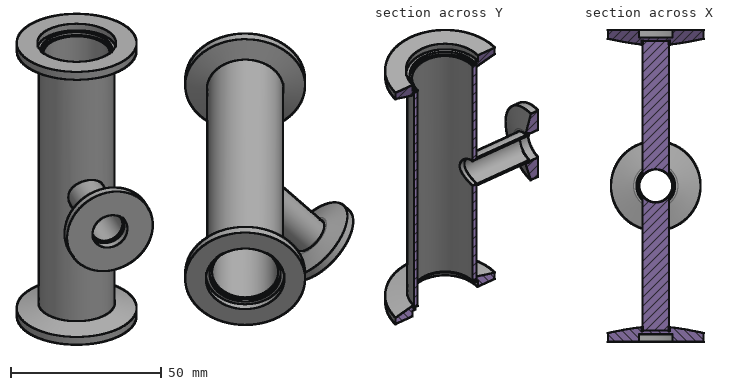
import cadquery as cq

total_height = 104.0
overall_length = 57.5

main_tube_diameter = 25.4
main_tube_bore = 22.0
branch_tube_diameter = 12.7
branch_tube_bore = 10.9

flange_thickness = 5.0
rim_thickness = 3.0
main_flange_diameter = 40.0
branch_flange_diameter = 30.0
branch_flange_back_diameter = 14.8

main_recess_diameter = 26.2
recess_depth = 2.5
main_flange_bore = 23.7
main_socket_diameter = 25.6
branch_flange_bore = 12.2
branch_socket_diameter = 12.9
tube_setback = 3.6

branch_reach = overall_length - main_flange_diameter / 2


def make_tube(length, outer_diameter, bore):
    """Tube standing on the XY plane."""
    return cq.Workplane("XY").circle(outer_diameter / 2).circle(bore / 2).extrude(length)


def make_flange(rim_diameter, back_diameter, bore, socket_diameter):
    """Flange with its outer face at Z = 0 and its cone pointing down."""
    rim_radius = rim_diameter / 2
    bore_radius = bore / 2
    flange = (
        cq.Workplane("XZ")
        .moveTo(bore_radius, 0)
        .lineTo(rim_radius, 0)
        .lineTo(rim_radius, -rim_thickness)
        .lineTo(back_diameter / 2, -flange_thickness)
        .lineTo(bore_radius, -flange_thickness)
        .close()
        .revolve(360, (0, 0, 0), (0, 1, 0))
    )
    socket = (
        cq.Workplane("XY")
        .workplane(offset=-flange_thickness)
        .circle(socket_diameter / 2)
        .extrude(flange_thickness - tube_setback)
    )
    return flange.cut(socket)


def make_main_flange():
    """Main flange with a seal recess; its cone narrows right down to the socket edge."""
    flange = make_flange(
        main_flange_diameter, main_socket_diameter, main_flange_bore, main_socket_diameter
    )
    recess = cq.Workplane("XY").circle(main_recess_diameter / 2).extrude(-recess_depth)
    return flange.cut(recess)


def turn_to_branch(body):
    """Turn a body from the +Z axis onto the +X axis."""
    return body.rotate((0, 0, 0), (0, 1, 0), 90)


main_tube_length = total_height - 2 * tube_setback
side_opening = cq.Workplane("YZ").circle(branch_tube_bore / 2).extrude(main_tube_diameter)
main_tube = (
    make_tube(main_tube_length, main_tube_diameter, main_tube_bore)
    .translate((0, 0, -main_tube_length / 2))
    .cut(side_opening)
)

main_tube_envelope = (
    cq.Workplane("XY").circle(main_tube_diameter / 2).extrude(main_tube_length / 2, both=True)
)
branch_tube = turn_to_branch(
    make_tube(branch_reach - tube_setback, branch_tube_diameter, branch_tube_bore)
).cut(main_tube_envelope)

main_flanges = []
for turn in (0, 180):
    flange = make_main_flange().translate((0, 0, total_height / 2))
    main_flanges.append(flange.rotate((0, 0, 0), (1, 0, 0), turn).val())

branch_flange = turn_to_branch(
    make_flange(
        branch_flange_diameter, branch_flange_back_diameter, branch_flange_bore, branch_socket_diameter
    )
).translate((branch_reach, 0, 0))

result = cq.Compound.makeCompound(
    [main_tube.val(), branch_tube.val(), *main_flanges, branch_flange.val()]
)